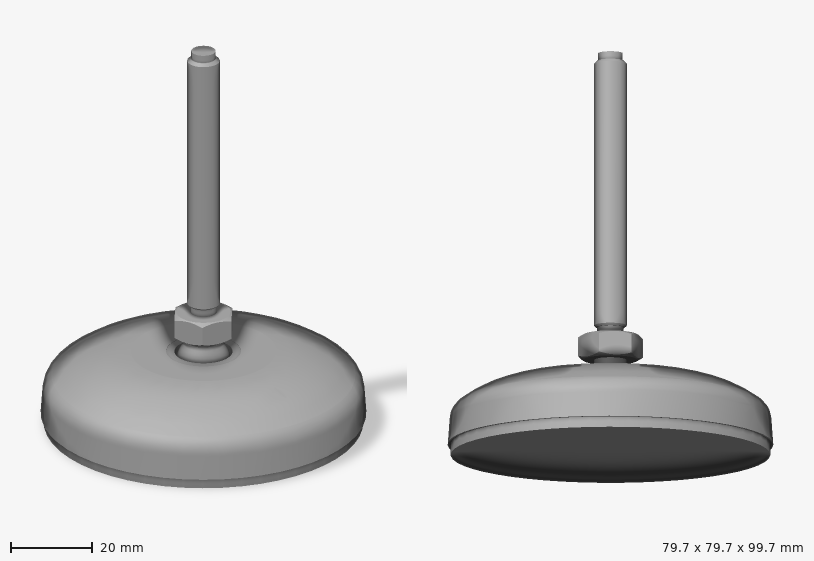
import cadquery as cq
import math

pad_diameter = 78.2
foot_diameter = 79.7
pad_height = 2.6
skirt_top_diameter = 78.8
skirt_top_z = 8.7
shoulder_diameter = 74.4
shoulder_z = 12.9
flat_diameter = 35.6
foot_height = 19.1

socket_diameter = 14.3
seat_diameter = 18.3
seat_step = 0.1
ball_diameter = 13.4

stud_diameter = 8.0
ball_top_z = 21.8
total_height = 99.7
tip_diameter = 6.0
tip_length = 1.9
neck_diameter = 6.5
thread_start_z = 31.6
lower_chamfer = 0.5
upper_chamfer = 0.7

hex_across_flats = 14.0
hex_bottom_z = 23.5
hex_height = 6.2
hex_half_angle = 30.0
hex_face_diameter = 13.4
hex_chamfer_angle = 30.0

ball_center_z = ball_top_z - math.sqrt(ball_diameter**2 - stud_diameter**2) / 2


def cylinder(diameter, bottom_z, top_z):
    return cq.Workplane("XY").workplane(offset=bottom_z).circle(diameter / 2).extrude(top_z - bottom_z)


def make_foot():
    """Pad, slightly tapered skirt, rounded shoulder and shallow dome, with the socket cut in."""
    foot = (
        cq.Workplane("XZ")
        .lineTo(0, foot_height)
        .lineTo(flat_diameter / 2, foot_height)
        .tangentArcPoint((shoulder_diameter / 2, shoulder_z), relative=False)
        .tangentArcPoint((skirt_top_diameter / 2, skirt_top_z), relative=False)
        .lineTo(foot_diameter / 2, pad_height)
        .lineTo(pad_diameter / 2, pad_height)
        .lineTo(pad_diameter / 2, 0)
        .close()
        .revolve(360, (0, 0), (0, 1))
    )
    seat = cylinder(seat_diameter, foot_height - seat_step, foot_height)
    socket = cylinder(socket_diameter, ball_center_z, foot_height)
    return foot.cut(seat).cut(socket)


def make_stud():
    """Ball, shank, neck and chamfered stud with a smaller plain tip."""
    ball = cq.Workplane("XY").sphere(ball_diameter / 2).translate((0, 0, ball_center_z))
    shank = cylinder(stud_diameter, ball_center_z, hex_bottom_z)
    neck = cylinder(neck_diameter, hex_bottom_z, thread_start_z)
    thread = (
        cylinder(stud_diameter, thread_start_z, total_height - tip_length)
        .faces("<Z").chamfer(lower_chamfer)
        .faces(">Z").chamfer(upper_chamfer)
    )
    tip = cylinder(tip_diameter, total_height - tip_length, total_height)
    return ball.union(shank).union(neck).union(thread).union(tip)


def make_hexagon():
    """Hexagon whose corners are turned down to a cone at both ends."""
    across_corners = hex_across_flats / math.cos(math.radians(hex_half_angle))
    chamfer_width = (across_corners - hex_face_diameter) / 2
    chamfer_height = chamfer_width * math.tan(math.radians(hex_chamfer_angle))
    prism = (
        cq.Workplane("XY")
        .polygon(6, across_corners)
        .extrude(hex_height)
        .rotate((0, 0, 0), (0, 0, 1), hex_half_angle)
    )
    turned_blank = (
        cq.Workplane("XY")
        .circle(across_corners / 2)
        .extrude(hex_height)
        .faces("<Z or >Z")
        .chamfer(chamfer_height, chamfer_width)
    )
    return prism.intersect(turned_blank).translate((0, 0, hex_bottom_z))


result = make_foot().union(make_stud()).union(make_hexagon())